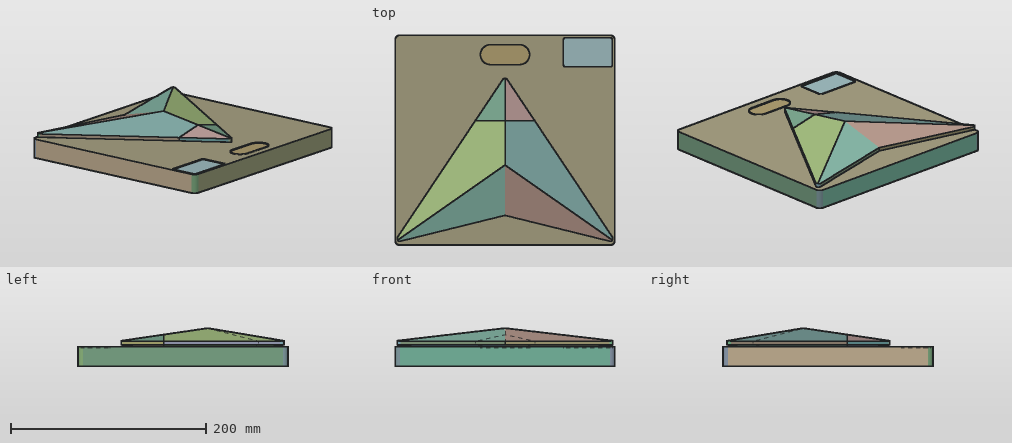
import cadquery as cq

BASE_LENGTH = 225.0
BASE_WIDTH = 215.0
BASE_HEIGHT = 20.0
BASE_CORNER_RADIUS = 5.0

RECESS_DEPTH = 1.0
SLOT_LENGTH = 50.5
SLOT_WIDTH = 20.2
SLOT_CENTER_Y = 87.5
LABEL_LENGTH = 50.0
LABEL_WIDTH = 30.0
LABEL_EDGE_GAP = 2.7
LABEL_CORNER_RADIUS = 2.0

TOTAL_HEIGHT = 39.2
RIM_BOTTOM = 22.3
RIM_TOP = 25.9
APEX_Y = -25.5
TIP_Y = 65.5
NOTCH_Y = -77.0
WING_X = 113.8
WING_Y = -105.0
ARROW_CORNER_RADIUS = 2.7
SPLIT_Y = 19.8

ARROW_OUTLINE = [(0, TIP_Y), (-WING_X, WING_Y), (0, NOTCH_Y), (WING_X, WING_Y)]
PYRAMID_RISE = TOTAL_HEIGHT - RIM_TOP
FOOT_SCALE = 1 - (RIM_BOTTOM - BASE_HEIGHT) / PYRAMID_RISE


def make_base():
    base = (
        cq.Workplane("XY")
        .box(BASE_LENGTH, BASE_WIDTH, BASE_HEIGHT, centered=(True, True, False))
        .edges("|Z")
        .fillet(BASE_CORNER_RADIUS)
    )
    recess_floor = cq.Workplane("XY").workplane(offset=BASE_HEIGHT - RECESS_DEPTH)
    slot = recess_floor.center(0, SLOT_CENTER_Y).slot2D(SLOT_LENGTH, SLOT_WIDTH).extrude(RECESS_DEPTH)
    label_x = BASE_LENGTH / 2 - LABEL_EDGE_GAP - LABEL_LENGTH / 2
    label_y = BASE_WIDTH / 2 - LABEL_EDGE_GAP - LABEL_WIDTH / 2
    label = (
        recess_floor.center(label_x, label_y)
        .rect(LABEL_LENGTH, LABEL_WIDTH)
        .extrude(RECESS_DEPTH)
        .edges("|Z")
        .fillet(LABEL_CORNER_RADIUS)
    )
    return base.cut(slot).cut(label)


def outline_ring(z, scale=1.0):
    """Arrow outline at height z, shrunk toward the point below the apex."""
    return [cq.Vector(x * scale, APEX_Y + (y - APEX_Y) * scale, z) for x, y in ARROW_OUTLINE]


def flat_face(points):
    return cq.Face.makeFromWires(cq.Wire.makePolygon(points, close=True))


def make_sharp_arrow():
    """Faceted arrowhead with sharp corners: foot bevel, rim and pyramid."""
    foot = outline_ring(BASE_HEIGHT, FOOT_SCALE)
    rim_low = outline_ring(RIM_BOTTOM)
    rim_high = outline_ring(RIM_TOP)
    apex = cq.Vector(0, APEX_Y, TOTAL_HEIGHT)
    faces = [flat_face(foot)]
    for i in range(len(foot)):
        j = (i + 1) % len(foot)
        faces.append(flat_face([foot[i], foot[j], rim_low[j], rim_low[i]]))
        faces.append(flat_face([rim_low[i], rim_low[j], rim_high[j], rim_high[i]]))
        faces.append(flat_face([rim_high[i], rim_high[j], apex]))
    return cq.Workplane(cq.Solid.makeSolid(cq.Shell.makeShell(faces)))


def make_arrow():
    """Arrowhead with its tip and wing corners rounded in plan."""
    column = cq.Workplane("XY").polyline(ARROW_OUTLINE).close().extrude(TOTAL_HEIGHT)
    notch_edge = cq.selectors.NearestToPointSelector((0, NOTCH_Y, TOTAL_HEIGHT / 2))
    all_corners = cq.selectors.ParallelDirSelector(cq.Vector(0, 0, 1))
    outer_corners = cq.selectors.SubtractSelector(all_corners, notch_edge)
    rounded_column = column.edges(outer_corners).fillet(ARROW_CORNER_RADIUS)
    return make_sharp_arrow().intersect(rounded_column)


def make_tip_region():
    """Block holding everything beyond the joint."""
    length = TIP_Y - SPLIT_Y
    return (
        cq.Workplane("XY")
        .box(2 * WING_X, length, TOTAL_HEIGHT, centered=(True, False, False))
        .translate((0, SPLIT_Y, 0))
    )


base = make_base()
arrow = make_arrow()
tip_region = make_tip_region()
arrow_body = arrow.cut(tip_region)
arrow_tip = arrow.intersect(tip_region)

result = cq.Compound.makeCompound([base.val(), arrow_body.val(), arrow_tip.val()])